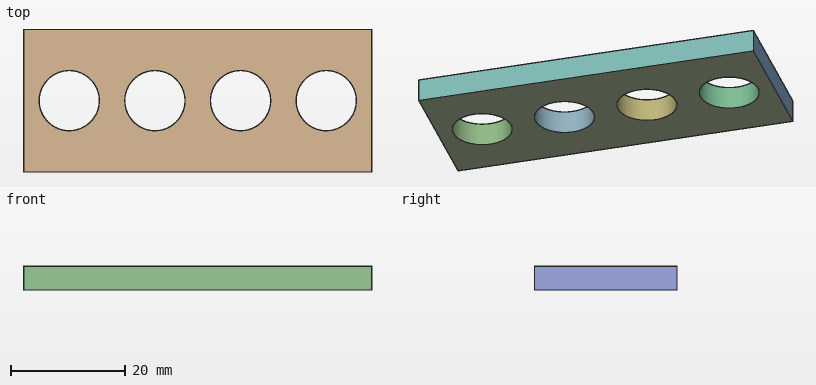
import cadquery as cq

plate_length = 61.0
plate_width = 25.0
plate_thickness = 4.2

hole_diameter = 10.5
hole_count = 4
hole_pitch = 15.0


def make_plate():
    """Flat rectangular plate centred on the origin."""
    return cq.Workplane("XY").box(plate_length, plate_width, plate_thickness)


def drill_hole_row(plate):
    """Drill the evenly spaced through holes along the plate's long centreline."""
    return (
        plate.faces(">Z")
        .workplane()
        .rarray(hole_pitch, hole_pitch, hole_count, 1)
        .hole(hole_diameter)
    )


result = drill_hole_row(make_plate())